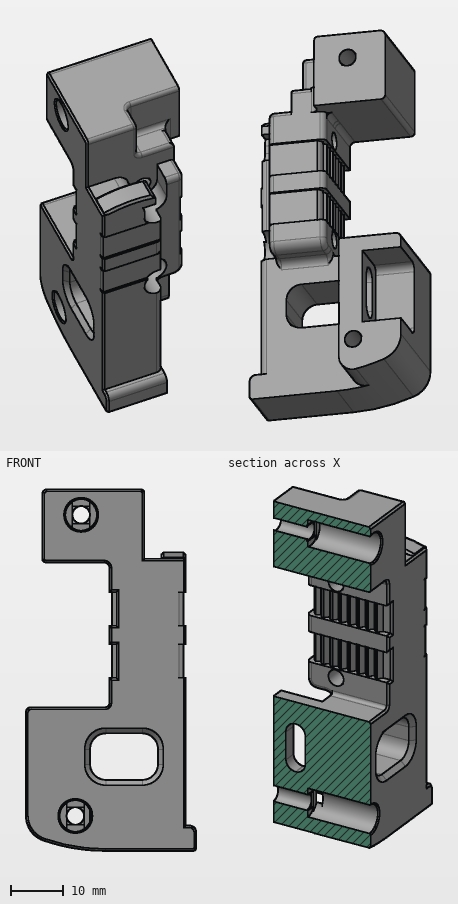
import cadquery as cq
import math

height = 68.75
depth = 21.6
edge_bevel = 0.4
edge_round = 1.0
head_bottom_round = 0.8
neck_root_round = 0.75
top_round = 0.75

plate_depth = 12.45
foot_top = 27.35
neck_left = 15.9
neck_right = 30.4
shoulder_z = 55.55
head_left = 3.1
head_right = 22.55
head_bottom = 54.8
lip_right = 32.4
lip_top = 4.9
lip_top_round = 1.3
lip_bottom_round = 0.6
foot_corner_radius = 5.0
foot_sole_radius = 35.75
foot_sole_end = 15.1
plate_corner_round = 1.4

overlap = 1.4
head_rear_right = 17.1
ledge_front = 10.5
ledge_z = 59.8
ledge_round = 0.95
head_to_neck_round = 1.5
neck_rear = 18.15
neck_rear_right = 27.1
neck_rear_corner = 2.05
neck_rear_root = 1.65
foot_rear_right = 12.25
foot_rear_round = 2.9

tongue_left = 25.7
tongue_depth = 10.9
tongue_crest_y = 6.9
tongue_crest_z = 56.8
tongue_arc_radius = 22.0
tongue_bevel = 0.5
tongue_rear_bevel = 0.8

front_screws = [(10.5, 63.9), (9.4, 6.7)]
front_screw_diameter = 3.3
screw_head_diameter = 6.0
screw_head_depth = 13.75
screw_mouth_bevel = 0.3
bridge_layer = 0.2

side_screw_y = 11.6
neck_middle_z = 41.05
side_screw_spacing = 20.1
side_screw_diameter = 3.4
slot_lead_round = 2.9

band_width = 6.4
band_spacing = 9.9
tooth_root_x = 17.25
tooth_crest_x = 16.35
tooth_pitch = 2.0
tooth_crest_width = 0.4
first_tooth_y = 1.9
tooth_count = 7
last_tooth = [(17.25, 15.8), (16.7, 16.6), (17.05, 17.0)]
band_rear_x = 17.6
band_rear_y = 17.5
band_right_depth = 0.4
band_right_bevel = 0.95
band_right_bevel_depth = 0.2

window_left = 12.25
window_right = 25.1
window_bottom = 13.55
window_top = 22.35
window_round = 2.95
window_bevel = 1.0
recess_depth = 7.55
recess_front = 11.95
recess_bottom = 10.0
recess_top = 24.4
recess_round = 1.5
slot_width = 4.2
slot_center_y = 16.7
slot_bottom = 12.6
slot_top = 22.6
slot_end_ratio = 0.49

reach = 0.1


def box(x0, x1, y0, y1, z0, z1):
    """Box between two corners."""
    block = cq.Workplane("XY").box(x1 - x0, y1 - y0, z1 - z0, centered=False)
    return block.translate((x0, y0, z0))


def along_y(sketch, y0, y1):
    """Extrude an XZ outline from y0 to y1."""
    return sketch(cq.Workplane("XZ", origin=(0, y0, 0))).extrude(y0 - y1)


def along_x(sketch, x0, x1):
    """Extrude a YZ outline from x0 to x1."""
    return sketch(cq.Workplane("YZ", origin=(x0, 0, 0))).extrude(x1 - x0)


def inside(x0, x1, y0, y1, z0, z1):
    """Select edges whose middle lies between two corners."""
    return cq.selectors.BoxSelector((x0, y0, z0), (x1, y1, z1))


def foot_corner():
    """Centre height of the foot corner arc and its meeting point with the sole arc."""
    run = foot_sole_end - foot_corner_radius
    gap = foot_sole_radius - foot_corner_radius
    rise = math.sqrt(gap**2 - run**2)
    center_z = foot_sole_radius - rise
    meet_x = foot_sole_end - foot_sole_radius * run / gap
    meet_z = foot_sole_radius - foot_sole_radius * rise / gap
    return center_z, (meet_x, meet_z)


def foot_outline(wp, right):
    """Foot from its top right corner round to the sole, ending at x = right or the flat sole."""
    center_z, meet = foot_corner()
    sole_x = min(right, foot_sole_end)
    run = foot_sole_end - sole_x
    sole_z = foot_sole_radius - math.sqrt(foot_sole_radius**2 - run**2)
    return (
        wp.moveTo(right, foot_top)
        .lineTo(edge_round, foot_top)
        .tangentArcPoint((0, foot_top - edge_round), relative=False)
        .lineTo(0, center_z)
        .tangentArcPoint(meet, relative=False)
        .tangentArcPoint((sole_x, sole_z), relative=False)
    )


def plate_outline(wp):
    """Whole front outline: foot, lip, shoulder, head and neck."""
    return (
        foot_outline(wp, neck_left - neck_root_round)
        .lineTo(lip_right - lip_bottom_round, 0)
        .tangentArcPoint((lip_right, lip_bottom_round), relative=False)
        .lineTo(lip_right, lip_top - lip_top_round)
        .tangentArcPoint((lip_right - lip_top_round, lip_top), relative=False)
        .lineTo(neck_right, lip_top)
        .lineTo(neck_right, shoulder_z)
        .lineTo(head_right, shoulder_z)
        .lineTo(head_right, height - top_round)
        .tangentArcPoint((head_right - top_round, height), relative=False)
        .lineTo(head_left + edge_round, height)
        .tangentArcPoint((head_left, height - edge_round), relative=False)
        .lineTo(head_left, head_bottom + head_bottom_round)
        .tangentArcPoint((head_left + head_bottom_round, head_bottom), relative=False)
        .lineTo(neck_left - edge_round, head_bottom)
        .tangentArcPoint((neck_left, head_bottom - edge_round), relative=False)
        .lineTo(neck_left, foot_top + neck_root_round)
        .tangentArcPoint((neck_left - neck_root_round, foot_top), relative=False)
        .close()
    )


def front_plate():
    """Front plate with its rear right upright edge rounded."""
    plate = along_y(plate_outline, 0, plate_depth)
    rear_corner = inside(neck_right - reach, neck_right + reach, plate_depth - reach, plate_depth + reach,
                         lip_top, shoulder_z)
    return plate.edges(rear_corner).fillet(plate_corner_round)


def foot_rear():
    """Rear part of the foot."""
    block = along_y(lambda wp: foot_outline(wp, foot_rear_right).close(), plate_depth - overlap, depth)
    return block.edges("|Y and >X and <Z").fillet(foot_rear_round)


def head_rear():
    """Rear part of the head."""
    block = box(head_left, head_rear_right, ledge_front - overlap, depth, head_bottom, height)
    block = block.edges("|Y and <X and >Z").fillet(edge_round)
    return block.edges("|Y and <X and <Z").fillet(head_bottom_round)


def neck_rear_outline(wp, top):
    """Side outline of the rear half of the neck."""
    return (
        wp.moveTo(plate_depth - overlap, top)
        .lineTo(neck_rear, top)
        .lineTo(neck_rear, foot_top + neck_rear_corner)
        .tangentArcPoint((neck_rear - neck_rear_corner, foot_top), relative=False)
        .lineTo(plate_depth + neck_rear_root, foot_top)
        .tangentArcPoint((plate_depth, foot_top - neck_rear_root), relative=False)
        .lineTo(plate_depth - overlap, foot_top - neck_rear_root)
        .close()
    )


def neck_rear_block():
    """Rear half of the neck: a tall part below the head and a lower part at the shoulder."""
    behind_plate = plate_depth + reach / 2
    low = along_x(lambda wp: neck_rear_outline(wp, shoulder_z), neck_left, neck_rear_right)
    low = low.edges(inside(neck_rear_right - reach, neck_rear_right + reach, behind_plate, depth,
                           foot_top - overlap, shoulder_z + reach)).fillet(edge_round)
    low = low.edges(inside(neck_left - reach, neck_left + reach, behind_plate, depth,
                           foot_top - overlap, shoulder_z - reach)).fillet(edge_round)
    low = low.edges(inside(neck_left, neck_rear_right, neck_rear - reach, neck_rear + reach,
                           shoulder_z - reach, shoulder_z + reach)).fillet(top_round)
    tall = box(neck_left, head_right, plate_depth - overlap, neck_rear,
               foot_top + 2 * neck_rear_corner, height - overlap)
    tall = tall.edges("|Z and <X and >Y").fillet(edge_round)
    return low.union(tall)


def head_to_neck_fills():
    """Concave rounds where the head meets the rear half of the neck."""
    below = box(neck_left - edge_round, neck_left + edge_round, plate_depth - overlap, neck_rear - edge_round,
                head_bottom - edge_round, head_bottom + edge_round)
    below = below.cut(along_y(
        lambda wp: wp.center(neck_left - edge_round, head_bottom - edge_round).circle(edge_round), 0, depth))
    r = head_to_neck_round
    behind = box(head_rear_right, head_rear_right + r, neck_rear - edge_round, neck_rear + r,
                 head_bottom, height - overlap)
    behind = behind.cut(
        cq.Workplane("XY").center(head_rear_right + r, neck_rear + r).circle(r).extrude(height))
    return below.union(behind)


def ledge_cutter():
    """Notch in the rear right of the head, down to the ledge."""
    cutter = box(head_rear_right, lip_right, ledge_front, 2 * depth, ledge_z, 2 * height)
    return cutter.edges("(|Z and <X and <Y) or (|Y and <X and <Z) or (|X and <Y and <Z)").fillet(ledge_round)


def ledge_rear_cutter():
    """Rounds the rear edge of the ledge."""
    center_y = neck_rear - top_round
    center_z = ledge_z - top_round
    strip = box(head_rear_right + head_to_neck_round, head_right, center_y, depth, center_z, height)
    return strip.cut(along_x(lambda wp: wp.center(center_y, center_z).circle(top_round), 0, lip_right))


def band_cutter(z):
    """Toothed groove on the left and rear of the neck."""
    flank = (tooth_pitch - tooth_crest_width) / 2
    wp = cq.Workplane("XY", origin=(0, 0, z - band_width / 2))
    wp = wp.moveTo(0, -overlap).lineTo(tooth_root_x, -overlap)
    for i in range(tooth_count):
        y = first_tooth_y + i * tooth_pitch
        wp = wp.lineTo(tooth_root_x, y)
        wp = wp.lineTo(tooth_crest_x, y + flank)
        wp = wp.lineTo(tooth_crest_x, y + flank + tooth_crest_width)
    wp = wp.polyline(last_tooth, includeCurrent=True)
    wp = wp.lineTo(band_rear_x, band_rear_y).lineTo(lip_right, band_rear_y)
    return wp.lineTo(lip_right, depth).lineTo(0, depth).close().extrude(band_width)


def right_band_cutter(z):
    """Plain groove on the right of the neck with a bevelled front."""
    floor = neck_right - band_right_depth
    return (
        cq.Workplane("XY", origin=(0, 0, z - band_width / 2))
        .moveTo(floor - band_right_bevel, 0)
        .lineTo(floor, band_right_bevel_depth)
        .lineTo(floor, depth)
        .lineTo(lip_right, depth)
        .lineTo(lip_right, 0)
        .close()
        .extrude(band_width)
    )


def tongue():
    """Low ridge with an arched top on the right of the shoulder."""
    base = neck_middle_z + side_screw_spacing / 2 + screw_head_diameter / 2
    bevel_y = tongue_depth - tongue_rear_bevel

    def arc_z(y):
        drop = tongue_arc_radius - math.sqrt(tongue_arc_radius**2 - (y - tongue_crest_y)**2)
        return tongue_crest_z - drop

    def outline(wp):
        return (
            wp.moveTo(edge_bevel, base)
            .lineTo(edge_bevel, arc_z(edge_bevel))
            .threePointArc((tongue_crest_y, tongue_crest_z), (bevel_y, arc_z(bevel_y)))
            .lineTo(tongue_depth, arc_z(bevel_y) - tongue_rear_bevel)
            .lineTo(tongue_depth, base)
            .close()
        )

    ridge = along_x(outline, tongue_left, neck_right)
    top_edges = inside(tongue_left - reach, neck_right + reach, 2 * edge_bevel, bevel_y - reach,
                       shoulder_z, height)
    return ridge.edges(top_edges).chamfer(tongue_bevel)


def front_screw_cutter(x, z):
    """Screw hole along Y whose head seat steps down through two bridging layers."""
    half = front_screw_diameter / 2
    head_radius = screw_head_diameter / 2

    def round_cut(radius, length):
        return along_y(lambda wp: wp.center(x, z).circle(radius), 0, length)

    head = round_cut(head_radius, screw_head_depth)
    mouth = cq.Workplane("XZ").center(x, z).circle(head_radius + screw_mouth_bevel)
    mouth = mouth.workplane(offset=-screw_mouth_bevel).circle(head_radius).loft()
    first = box(x - half, x + half, 0, screw_head_depth + bridge_layer, z - depth, z + depth)
    first = first.intersect(round_cut(head_radius, depth))
    second = box(x - half, x + half, 0, screw_head_depth + 2 * bridge_layer, z - half, z + half)
    shank = round_cut(half, depth)
    return head.union(mouth).union(first).union(second).union(shank)


def side_screw_cutter(z):
    """Screw hole along X with its head seat on the right."""
    def round_cut(diameter, start):
        return along_x(lambda wp: wp.center(side_screw_y, z).circle(diameter / 2), start, lip_right)

    return round_cut(side_screw_diameter, 0).union(round_cut(screw_head_diameter, head_right))


def shoulder_slot_cutter(z):
    """Opens the upper side screw seat to the shoulder, with a rounded front lead-in."""
    front = side_screw_y - screw_head_diameter / 2
    rear = side_screw_y + screw_head_diameter / 2

    def outline(wp):
        return (
            wp.moveTo(front, z)
            .lineTo(front, shoulder_z - slot_lead_round)
            .tangentArcPoint((front - slot_lead_round, shoulder_z), relative=False)
            .lineTo(front - slot_lead_round, height)
            .lineTo(rear, height)
            .lineTo(rear, z)
            .close()
        )

    return along_x(outline, head_right, lip_right)


def window_cutter():
    """Rounded window through the plate with a bevelled mouth."""
    center = cq.Vector((window_left + window_right) / 2, (window_bottom + window_top) / 2, 0)

    def opening(grow):
        width = window_right - window_left + 2 * grow
        tall = window_top - window_bottom + 2 * grow
        sketch = cq.Sketch().rect(width, tall).vertices().fillet(window_round + grow)
        return sketch.moved(cq.Location(center))

    straight = cq.Workplane("XZ").placeSketch(opening(0)).extrude(-plate_depth)
    inner = opening(0).moved(cq.Location(cq.Vector(0, 0, -window_bevel)))
    mouth = cq.Workplane("XZ").placeSketch(opening(window_bevel), inner).loft()
    return straight.union(mouth)


def foot_recess_cutter():
    """Recess in the left of the foot and the slot through its wall."""
    recess = box(0, recess_depth, recess_front, 2 * depth, recess_bottom, recess_top)
    recess = recess.edges("|X and <Y").fillet(recess_round)
    slot = box(0, foot_rear_right, slot_center_y - slot_width / 2, slot_center_y + slot_width / 2,
               slot_bottom, slot_top)
    slot = slot.edges("|X").fillet(slot_end_ratio * slot_width)
    return recess.union(slot)


band_heights = [neck_middle_z + side * band_spacing / 2 for side in (-1, 1)]
side_screw_heights = [neck_middle_z + side * side_screw_spacing / 2 for side in (-1, 1)]

result = front_plate().union(foot_rear()).union(head_rear())
result = result.union(neck_rear_block()).union(head_to_neck_fills())
result = result.cut(ledge_cutter())
result = result.edges(inside(head_rear_right - 0.7, head_right - 0.7, ledge_front - 0.7, depth - reach,
                             height - reach, height + reach)).fillet(top_round)
result = result.cut(ledge_rear_cutter())

for z in band_heights:
    result = result.cut(band_cutter(z))
result = result.faces("<Y").edges().chamfer(edge_bevel)
for z in band_heights:
    result = result.cut(right_band_cutter(z))

result = result.cut(shoulder_slot_cutter(max(side_screw_heights)))
for z in side_screw_heights:
    result = result.cut(side_screw_cutter(z))
result = result.union(tongue())

for x, z in front_screws:
    result = result.cut(front_screw_cutter(x, z))
result = result.cut(window_cutter()).cut(foot_recess_cutter())